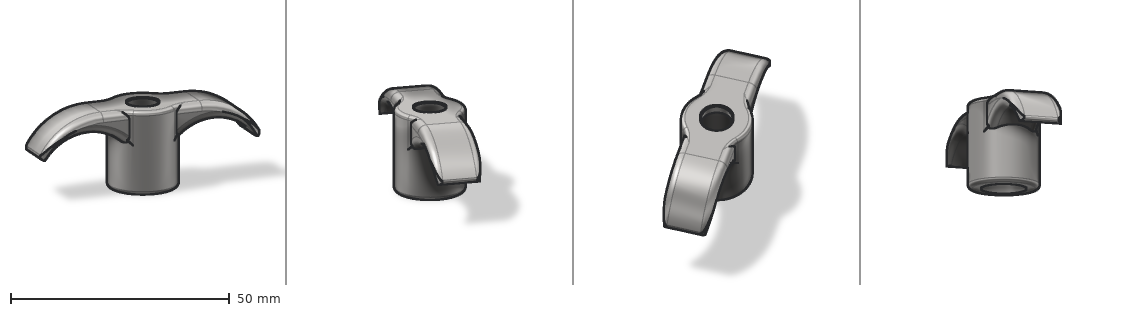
import cadquery as cq
import math

hub_diameter = 16.5
hub_height = 20.0
hub_rounding = 1.0
bore_diameter = 7.2
bore_chamfer = 0.25
socket_diameter = 10.5
bore_lip = 2.4

span = 54.3
arm_width = 12.0
edge_rounding = 2.0
flat_half_length = 12.2
top_bend_radius = 17.1
under_bend_radius = 12.85
under_crest_y = 15.5
under_crest_drop = 4.4
tip_radius = 0.8
taper_start_y = 19.55
root_blend_radius = 7.05
root_lift = 1.0

hub_radius = hub_diameter / 2
half_span = span / 2
half_width = arm_width / 2
half_flat = half_width - edge_rounding
top_axis_z = hub_height - top_bend_radius
under_axis_z = hub_height - under_crest_drop - under_bend_radius
rounding_45 = edge_rounding * math.sqrt(0.5)
arc_x = half_flat + rounding_45
arc_drop = edge_rounding - rounding_45


def top_section(y):
    """Cross-section of an arm with rounded shoulders, reaching down to the bend axis."""
    top = hub_height
    return (
        cq.Workplane("XZ", origin=(0, y, 0))
        .moveTo(-half_width, top_axis_z)
        .lineTo(-half_width, top - edge_rounding)
        .threePointArc((-arc_x, top - arc_drop), (-half_flat, top))
        .lineTo(half_flat, top)
        .threePointArc((arc_x, top - arc_drop), (half_width, top - edge_rounding))
        .lineTo(half_width, top_axis_z)
        .close()
    )


def top_envelope():
    """Flat run from the hub centre followed by the downward bend."""
    straight = top_section(0).extrude(-flat_half_length)
    bend = top_section(flat_half_length).revolve(360, (-0.55, top_axis_z), (0.55, top_axis_z))
    return straight.union(bend)


def under_tunnel():
    """Body whose flared ends round the lower long edges of an arm."""
    crest = hub_height - under_crest_drop
    return (
        cq.Workplane("XZ", origin=(0, under_crest_y, 0))
        .moveTo(-half_width, under_axis_z)
        .lineTo(-half_width, crest + edge_rounding)
        .threePointArc((-arc_x, crest + arc_drop), (-half_flat, crest))
        .lineTo(half_flat, crest)
        .threePointArc((arc_x, crest + arc_drop), (half_width, crest + edge_rounding))
        .lineTo(half_width, under_axis_z)
        .close()
        .revolve(360, (-0.55, under_axis_z), (0.55, under_axis_z))
    )


def arm_side_profile():
    """Side profile between the two bends, closed by a round tip."""
    tip_y = half_span - tip_radius
    reach = top_bend_radius - tip_radius
    tip_z = top_axis_z + math.sqrt(reach**2 - (tip_y - flat_half_length) ** 2)
    top_y, top_z = (tip_y - flat_half_length) / reach, (tip_z - top_axis_z) / reach
    under_reach = math.hypot(tip_y - under_crest_y, tip_z - under_axis_z)
    under_y = (tip_y - under_crest_y) / under_reach
    under_z = (tip_z - under_axis_z) / under_reach
    touch = (tip_y + tip_radius * top_y, tip_z + tip_radius * top_z)
    heel = (tip_y - tip_radius * under_y, tip_z - tip_radius * under_z)
    bend_half = math.atan2(top_y, top_z) / 2
    bend_mid = (
        flat_half_length + top_bend_radius * math.sin(bend_half),
        top_axis_z + top_bend_radius * math.cos(bend_half),
    )
    end_y, end_z = top_z + under_z, -top_y - under_y
    end_length = math.hypot(end_y, end_z)
    end = (tip_y + tip_radius * end_y / end_length, tip_z + tip_radius * end_z / end_length)
    return (
        cq.Workplane("YZ")
        .moveTo(0, hub_height)
        .lineTo(flat_half_length, hub_height)
        .threePointArc(bend_mid, touch)
        .threePointArc(end, heel)
        .lineTo(under_crest_y, under_axis_z)
        .lineTo(0, under_axis_z)
        .close()
        .extrude(half_width, both=True)
    )


def arm_plan():
    """Plan outline whose sides are quarter ellipses towards the tip."""
    taper = cq.Workplane("XY").center(half_flat, taper_start_y)
    taper = taper.ellipse(edge_rounding, half_span - taper_start_y).extrude(hub_height)
    middle = cq.Workplane("XY").rect(2 * half_flat, span).extrude(hub_height)
    straight = cq.Workplane("XY").rect(arm_width, 2 * taper_start_y).extrude(hub_height)
    return middle.union(straight).union(taper).union(taper.mirror("YZ"))


def make_arm():
    arm = arm_side_profile().intersect(top_envelope()).cut(under_tunnel())
    return arm.intersect(arm_plan())


def root_blend():
    """Collar around the hub that flows into the arms, with a rounded top rim."""
    neck_x = half_flat + hub_rounding
    blend_x = neck_x + root_blend_radius
    centre_distance = hub_radius + root_blend_radius
    neck_y = math.sqrt(centre_distance**2 - blend_x**2)
    meet_x = hub_radius * blend_x / centre_distance
    meet_y = hub_radius * neck_y / centre_distance
    half_sweep = math.atan2(neck_y, blend_x) / 2
    mid_x = blend_x - root_blend_radius * math.cos(half_sweep)
    mid_y = neck_y - root_blend_radius * math.sin(half_sweep)
    collar = (
        cq.Workplane("XY")
        .moveTo(neck_x, -neck_y)
        .threePointArc((mid_x, -mid_y), (meet_x, -meet_y))
        .threePointArc((hub_radius, 0), (meet_x, meet_y))
        .threePointArc((mid_x, mid_y), (neck_x, neck_y))
        .lineTo(-neck_x, neck_y)
        .threePointArc((-mid_x, mid_y), (-meet_x, meet_y))
        .threePointArc((-hub_radius, 0), (-meet_x, -meet_y))
        .threePointArc((-mid_x, -mid_y), (-neck_x, -neck_y))
        .close()
        .extrude(hub_height)
        .faces(">Z")
        .edges()
        .fillet(hub_rounding)
    )
    clearance = (
        cq.Workplane("YZ")
        .center(under_crest_y, under_axis_z)
        .circle(under_bend_radius + root_lift)
        .extrude(hub_radius, both=True)
    )
    upper_half = (
        cq.Workplane("XY", origin=(0, 0, hub_height / 2))
        .rect(span, span)
        .extrude(hub_height / 2)
    )
    return collar.intersect(upper_half).cut(clearance).cut(clearance.mirror("XZ"))


def make_hub():
    hub = cq.Workplane("XY").circle(hub_radius).extrude(hub_height)
    return hub.edges().fillet(hub_rounding)


def cut_bore(body):
    """Chamfered through bore with a wider socket below."""
    bore_radius = bore_diameter / 2
    chamfer_z = hub_height - bore_chamfer
    cutter = cq.Workplane("XY").circle(bore_radius).extrude(hub_height)
    socket = cq.Workplane("XY").circle(socket_diameter / 2).extrude(hub_height - bore_lip)
    countersink = (
        cq.Workplane("XZ")
        .moveTo(0, chamfer_z)
        .lineTo(bore_radius, chamfer_z)
        .lineTo(bore_radius + bore_chamfer, hub_height)
        .lineTo(0, hub_height)
        .close()
        .revolve(360, (0, 0), (0, 1))
    )
    return body.cut(cutter).cut(socket).cut(countersink)


arm = make_arm()
body = make_hub().union(root_blend()).union(arm).union(arm.mirror("XZ"))
result = cut_bore(body)